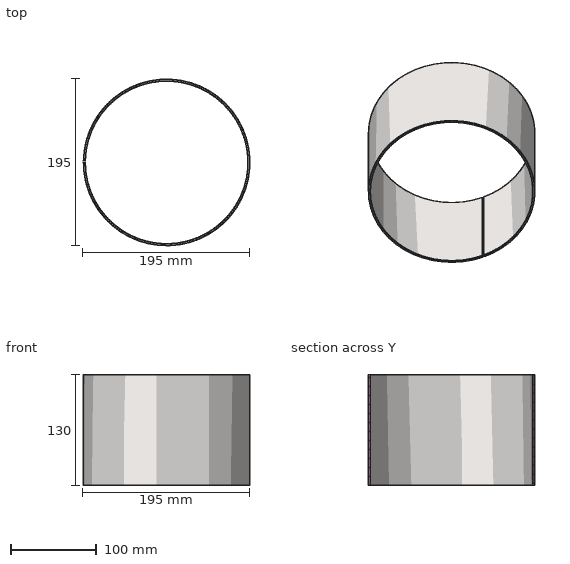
import cadquery as cq

outer_diameter = 195.0
wall = 2.7
height = 130.0
rim_chamfer = 0.5
slit_angle = 1.0

mean_radius = (outer_diameter - wall) / 2

section = (
    cq.Workplane("XZ")
    .center(-mean_radius, height / 2)
    .sketch()
    .rect(wall, height)
    .vertices()
    .chamfer(rim_chamfer)
    .finalize()
)

axis_start = (mean_radius, 0)
axis_end = (mean_radius, 1)
result = section.revolve(360 - slit_angle, axis_start, axis_end)